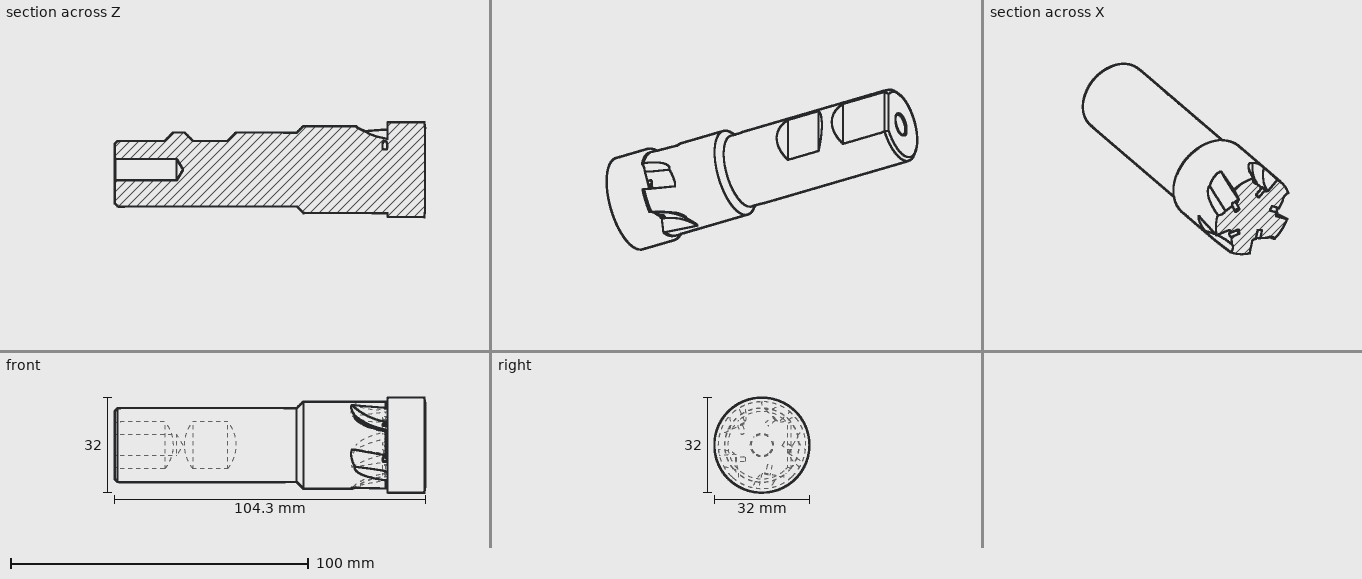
import cadquery as cq
import math

total_length = 104.3
taper_start = 56.6
taper_end = 57.4
shoulder_start = 61.1
body_end = 91.0
head_start = 91.6

shank_diameter = 25.0
neck_diameter = 24.8
body_diameter = 29.3
relief_diameter = 29.2
head_diameter = 32.0

end_chamfer = 1.0
lead_in_end = 2.4
flat_height = 9.7
rib_start = 19.7
rib_end = 23.5
flat_end = 40.8

hole_diameter = 7.1
hole_mouth_diameter = 7.8
hole_depth = 20.9
drill_point_angle = 118.0

head_back_round = 0.4
front_face_rise = 0.3
front_face_diameter = 28.2

flute_count = 5
flute_angle = 66.5
helix_angle = 10.0
cutter_radius = 18.8
floor_height = 9.1
cutter_center_x = 92.6
wall_offset = 2.3
floor_width = 5.8
corner_width = 1.5
corner_height = 0.3
groove_width = 3.0
groove_depth = 0.3
groove_rise = 0.6
run_out_start = 90.2
run_out_drop = 0.3

outlet_diameter = 1.6
outlet_depth = 3.1
outlet_x = 90.7
outlet_offset = 4.1


def make_turned_body():
    """Shank, neck and body as one revolved shape along X."""
    shank_radius = shank_diameter / 2
    neck_radius = neck_diameter / 2
    body_radius = body_diameter / 2
    relief_radius = relief_diameter / 2
    shoulder_end = shoulder_start + body_radius - neck_radius
    outline = [
        (0, 0),
        (0, neck_radius - end_chamfer),
        (end_chamfer, neck_radius),
        (lead_in_end, shank_radius),
        (taper_start, shank_radius),
        (taper_end, neck_radius),
        (shoulder_start, neck_radius),
        (shoulder_end, body_radius),
        (body_end, body_radius),
        (body_end, relief_radius),
        (head_start, relief_radius),
        (head_start, 0),
    ]
    return cq.Workplane("XY").polyline(outline).close().revolve(360, (0, 0, 0), (1, 0, 0))


def make_head():
    """Cutting head with a rounded back edge and a slightly raised front face."""
    radius = head_diameter / 2
    rim_x = total_length - front_face_rise
    outline = (
        cq.Workplane("XY")
        .moveTo(head_start, 0)
        .lineTo(head_start, radius - head_back_round)
        .radiusArc((head_start + head_back_round, radius), head_back_round)
        .lineTo(rim_x, radius)
        .lineTo(total_length, front_face_diameter / 2)
        .lineTo(total_length, 0)
        .close()
    )
    return outline.revolve(360, (0, 0, 0), (1, 0, 0))


def make_clamping_flats():
    """Material above the two flats on the +Y side, with 45 degree end slopes."""
    top = shank_diameter / 2
    slope = top - flat_height
    first_flat = [
        (0, top),
        (0, flat_height - end_chamfer),
        (end_chamfer, flat_height),
        (rib_start - slope, flat_height),
        (rib_start, top),
    ]
    second_flat = [
        (rib_end, top),
        (rib_end + slope, flat_height),
        (flat_end - slope, flat_height),
        (flat_end, top),
    ]
    first = cq.Workplane("XY").polyline(first_flat).close().extrude(top, both=True)
    second = cq.Workplane("XY").polyline(second_flat).close().extrude(top, both=True)
    return first.union(second)


def make_center_hole():
    """Blind hole with a chamfered mouth and a drill point."""
    radius = hole_diameter / 2
    mouth_radius = hole_mouth_diameter / 2
    point_length = radius / math.tan(math.radians(drill_point_angle / 2))
    outline = [
        (0, 0),
        (0, mouth_radius),
        (mouth_radius - radius, radius),
        (hole_depth, radius),
        (hole_depth + point_length, 0),
    ]
    return cq.Workplane("XY").polyline(outline).close().revolve(360, (0, 0, 0), (1, 0, 0))


def make_flute():
    """One flute: the sweep of a disc cutter, a run-out by the head and a coolant outlet.

    It is built with the flute floor facing +Z and the flute wall on the +Y side.
    """
    floor_edge = -floor_width
    groove_edge = floor_edge - groove_width
    slant = math.tan(math.radians(helix_angle))
    skew = cq.Matrix([[1, 0, 0, 0], [-slant, 1, 0, 0], [0, 0, 1, 0]])
    run_out_reach = cutter_center_x - run_out_start
    run_out_height = floor_height + cutter_radius - math.sqrt(cutter_radius**2 - run_out_reach**2)
    profile = (
        cq.Workplane("YZ")
        .moveTo(0, 0)
        .lineTo(0, corner_height - cutter_radius)
        .lineTo(-corner_width, -cutter_radius)
        .lineTo(floor_edge, -cutter_radius)
        .threePointArc(
            ((floor_edge + groove_edge) / 2, -cutter_radius - groove_depth),
            (groove_edge, -cutter_radius + groove_rise),
        )
        .lineTo(groove_edge - groove_width, -cutter_radius + groove_rise + groove_width)
        .lineTo(groove_edge - groove_width, 0)
        .close()
    )
    disc = profile.revolve(360, (0, 0, 0), (1, 0, 0)).val()
    cutter = (
        cq.Workplane(disc.transformGeometry(skew))
        .translate((cutter_center_x, -wall_offset, floor_height + cutter_radius))
    )
    run_out = (
        cq.Workplane("XZ", origin=(0, -wall_offset, 0))
        .polyline([
            (run_out_start, run_out_height),
            (head_start, run_out_height - run_out_drop),
            (head_start, run_out_height),
        ])
        .close()
        .extrude(floor_width)
    )
    outlet = (
        cq.Workplane("XY")
        .center(outlet_x, -outlet_offset)
        .circle(outlet_diameter / 2)
        .extrude(2 * outlet_depth)
        .translate((0, 0, floor_height - outlet_depth))
    )
    return cutter.union(run_out).union(outlet)


def cut_flutes(body):
    """Repeat the flute evenly around the X axis."""
    flute = make_flute()
    for index in range(flute_count):
        turn = 90 - flute_angle + index * 360 / flute_count
        body = body.cut(flute.rotate((0, 0, 0), (1, 0, 0), turn))
    return body


shank_and_body = make_turned_body().cut(make_clamping_flats()).cut(make_center_hole())
result = cut_flutes(shank_and_body).union(make_head())